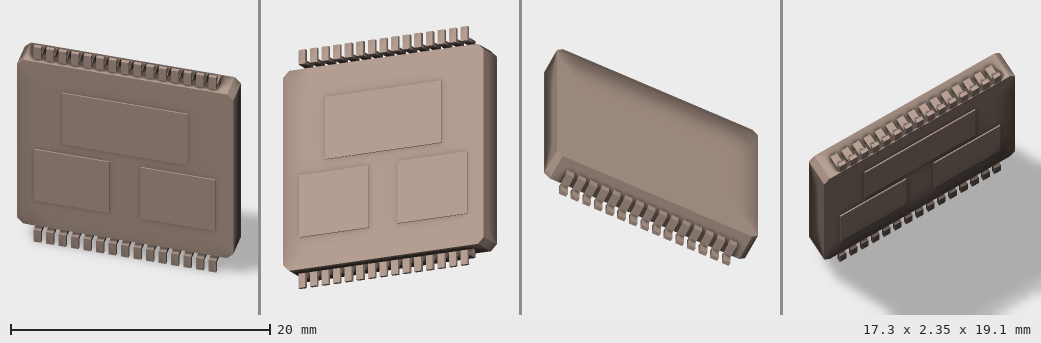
import cadquery as cq

body_width = 17.3
body_depth = 2.25
body_height = 16.1
corner_chamfer = 0.5

pad_thickness = 0.1
pad_height = 5.0
pad_gap = 1.0
upper_pad_width = 10.0
lower_pad_width = 6.0
lower_pad_offset = 4.25

overall_height = 19.15
lead_count = 15
lead_pitch = 1.0
lead_width = 0.6
lead_thickness = 0.3
lead_back_inset = 0.95
foot_length = 1.15

pad_face_y = -pad_thickness
lead_back_y = body_depth - lead_back_inset
pad_center_z = (pad_height + pad_gap) / 2


def make_body():
    """Flat block with its four upright corners cut at 45 degrees."""
    block = cq.Workplane("XY").box(body_width, body_depth, body_height)
    return block.edges("|Y").chamfer(corner_chamfer).translate((0, body_depth / 2, 0))


def make_pad(width, center_x, center_z):
    """Thin rectangular pad on the front face."""
    pad = cq.Workplane("XY").box(width, pad_thickness, pad_height)
    return pad.translate((center_x, pad_face_y / 2, center_z))


def make_top_lead(center_x):
    """Z-shaped lead: short stem out of the body, shelf forward, foot upward."""
    edge_z = body_height / 2
    tip_z = overall_height / 2
    shelf_bottom_z = tip_z - foot_length
    shelf_top_z = shelf_bottom_z + lead_thickness
    stem_front_y = lead_back_y - lead_thickness
    foot_back_y = pad_face_y + lead_thickness
    profile = [
        (lead_back_y, edge_z),
        (lead_back_y, shelf_top_z),
        (foot_back_y, shelf_top_z),
        (foot_back_y, tip_z),
        (pad_face_y, tip_z),
        (pad_face_y, shelf_bottom_z),
        (stem_front_y, shelf_bottom_z),
        (stem_front_y, edge_z),
    ]
    lead = cq.Workplane("YZ").polyline(profile).close().extrude(lead_width / 2, both=True)
    return lead.translate((center_x, 0, 0))


result = make_body()

result = result.union(make_pad(upper_pad_width, 0, pad_center_z))
for side in (-1, 1):
    result = result.union(make_pad(lower_pad_width, side * lower_pad_offset, -pad_center_z))

for index in range(lead_count):
    lead_x = (index - (lead_count - 1) / 2) * lead_pitch
    top_lead = make_top_lead(lead_x)
    result = result.union(top_lead).union(top_lead.mirror("XY"))